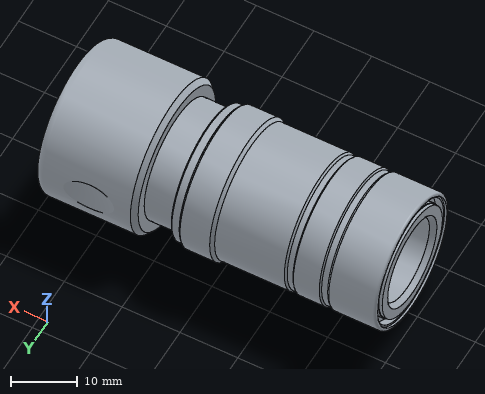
import cadquery as cq

TOTAL_LENGTH = 58.2
COLLAR_START = 27.8
COLLAR_END = 33.9
SHOULDER_END = 35.45
CAP_START = 40.7

BODY_DIAMETER = 23.0
GROOVE_DIAMETER = 22.4
COLLAR_DIAMETER = 24.0
NECK_DIAMETER = 20.5
CAP_DIAMETER = 26.0

RIM_FILLET = 0.4
COLLAR_FRONT_CHAMFER = 0.6
COLLAR_BACK_CHAMFER = 0.35
SHOULDER_CHAMFER = 0.25
CAP_CHAMFER = 0.9
CAP_FILLET = 1.45

BODY_GROOVES = [
    (8.1, 9.7, 0.35, 0.25),
    (14.2, 15.8, 0.25, 0.35),
]

CHANNEL_OUTER_DIAMETER = 21.0
SLEEVE_DIAMETER = 18.8
SLEEVE_BASE_DIAMETER = 19.1
SLEEVE_STEP_DEPTH = 0.6
CHANNEL_DEPTH = 1.75
CHANNEL_STEP_DIAMETER = 21.65
CHANNEL_STEP_DEPTH = 0.4
BORE_DIAMETER = 14.1
BORE_DEPTH = 26.2
BORE_MOUTH_DIAMETER = 15.35
BORE_MOUTH_DEPTH = 0.95

DISH_X = 48.7
DISH_WIDTH = 8.75
DISH_DEPTH = 0.6


def cylinder(start, end, diameter):
    """Solid cylinder on the X axis between two stations."""
    return cq.Workplane("YZ", origin=(start, 0, 0)).circle(diameter / 2).extrude(end - start)


def revolve_about_axis(profile):
    """Full turn of an (x, radius) outline around the X axis."""
    return cq.Workplane("XY").polyline(profile).close().revolve(360, (0, 0, 0), (1, 0, 0))


def make_body():
    body = cylinder(0, COLLAR_START, BODY_DIAMETER)
    return body.faces("<X").edges().fillet(RIM_FILLET)


def make_collar():
    collar = cylinder(COLLAR_START, COLLAR_END, COLLAR_DIAMETER)
    collar = collar.faces("<X").edges().chamfer(
        COLLAR_FRONT_CHAMFER, (COLLAR_DIAMETER - BODY_DIAMETER) / 2
    )
    return collar.faces(">X").edges().chamfer(COLLAR_BACK_CHAMFER)


def make_shoulder():
    shoulder = cylinder(COLLAR_END, SHOULDER_END, BODY_DIAMETER)
    return shoulder.faces(">X").edges().chamfer(SHOULDER_CHAMFER)


def make_cap():
    cap = cylinder(CAP_START, TOTAL_LENGTH, CAP_DIAMETER)
    cap = cap.faces("<X").edges().chamfer(CAP_CHAMFER)
    return cap.faces(">X").edges().fillet(CAP_FILLET)


def groove_cutter(start, end, front_run, back_run):
    """Ring that cuts a groove with sloped walls into the body."""
    floor_radius = GROOVE_DIAMETER / 2
    rim_radius = BODY_DIAMETER / 2
    clear_radius = COLLAR_DIAMETER / 2
    profile = [
        (start, clear_radius),
        (start, rim_radius),
        (start + front_run, floor_radius),
        (end - back_run, floor_radius),
        (end, rim_radius),
        (end, clear_radius),
    ]
    return revolve_about_axis(profile)


def channel_cutter():
    """Stepped ring channel between the rim and the inner sleeve."""
    return revolve_about_axis([
        (0, SLEEVE_DIAMETER / 2),
        (0, CHANNEL_STEP_DIAMETER / 2),
        (CHANNEL_STEP_DEPTH, CHANNEL_STEP_DIAMETER / 2),
        (CHANNEL_STEP_DEPTH, CHANNEL_OUTER_DIAMETER / 2),
        (CHANNEL_DEPTH, CHANNEL_OUTER_DIAMETER / 2),
        (CHANNEL_DEPTH, SLEEVE_BASE_DIAMETER / 2),
        (SLEEVE_STEP_DEPTH, SLEEVE_BASE_DIAMETER / 2),
        (SLEEVE_STEP_DEPTH, SLEEVE_DIAMETER / 2),
    ])


def bore_cutter():
    """Blind bore with a tapered mouth."""
    return revolve_about_axis([
        (0, 0),
        (0, BORE_MOUTH_DIAMETER / 2),
        (BORE_MOUTH_DEPTH, BORE_DIAMETER / 2),
        (BORE_DEPTH, BORE_DIAMETER / 2),
        (BORE_DEPTH, 0),
    ])


def dish_cutter():
    sphere_radius = ((DISH_WIDTH / 2) ** 2 + DISH_DEPTH**2) / (2 * DISH_DEPTH)
    sphere_y = CAP_DIAMETER / 2 - DISH_DEPTH + sphere_radius
    return cq.Workplane("XY").sphere(sphere_radius).translate((DISH_X, sphere_y, 0))


neck = cylinder(SHOULDER_END, CAP_START, NECK_DIAMETER)
result = make_body().union(make_collar()).union(make_shoulder()).union(neck).union(make_cap())
for groove in BODY_GROOVES:
    result = result.cut(groove_cutter(*groove))
result = result.cut(channel_cutter()).cut(bore_cutter()).cut(dish_cutter())